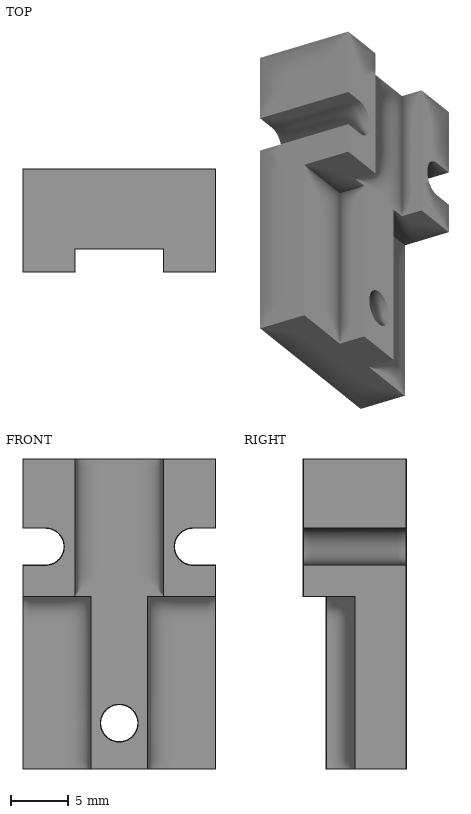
import cadquery as cq

width = 16.8
depth = 9.0
height = 27.0

channel_width = 7.7
channel_depth = 2.0

step_height = 15.0
step_depth = depth / 2
rib_width = 4.91

hole_diameter = 3.25
hole_height = 4.0
slot_width = 3.2
slot_reach = 3.6
slot_height = 19.35


def box(size_x, size_y, size_z, y_start, z_start):
    """Box centred on X, starting at the given Y and Z."""
    return (
        cq.Workplane("XY")
        .box(size_x, size_y, size_z, centered=(True, False, False))
        .translate((0, y_start, z_start))
    )


upper_block = box(width, depth, height - step_height, 0, step_height)
lower_plate = box(width, depth - step_depth, step_height, step_depth, 0)
rib = box(rib_width, depth - channel_depth, step_height, channel_depth, 0)
channel = box(channel_width, channel_depth, height - step_height, 0, step_height)
body = upper_block.cut(channel).union(lower_plate).union(rib)

hole = (
    cq.Workplane("XZ")
    .center(0, hole_height)
    .circle(hole_diameter / 2)
    .extrude(-depth)
)
body = body.cut(hole)

for side in (-1, 1):
    slot = (
        cq.Workplane("XZ")
        .center(side * width / 2, slot_height)
        .slot2D(2 * slot_reach, slot_width)
        .extrude(-depth)
    )
    body = body.cut(slot)

result = body